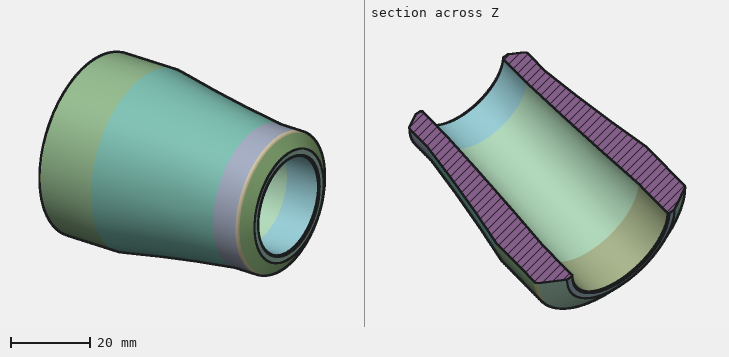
import cadquery as cq
import math

length = 64.0
large_radius = 48.3 / 2
small_radius = 38.0 / 2
large_bore_radius = 30.7 / 2
small_bore_radius = 26.0 / 2

taper_start = 20.0
bore_taper_start = 12.0
taper_end = 54.15
taper_sag = 0.3
bore_taper_sag = 0.2

root_face = 2.0
bevel_angle = 30.0
bevel_edge_radius = 1.0
mouth_chamfer = 0.3

large_face_radius = large_bore_radius + root_face
small_face_radius = small_bore_radius + root_face


def bevel_length(outer_radius, face_radius):
    """Axial length of the bevel between an end ring and the outer wall."""
    return (outer_radius - face_radius) * math.tan(math.radians(bevel_angle))


large_bevel_end = bevel_length(large_radius, large_face_radius)
small_bevel_start = length - bevel_length(small_radius, small_face_radius)
taper_middle = (
    (taper_start + taper_end) / 2,
    (large_radius + small_radius) / 2 - taper_sag,
)
bore_taper_middle = (
    (bore_taper_start + taper_end) / 2,
    (large_bore_radius + small_bore_radius) / 2 - bore_taper_sag,
)

half_section = (
    cq.Workplane("XY")
    .moveTo(0, large_bore_radius + mouth_chamfer)
    .lineTo(0, large_face_radius)
    .lineTo(large_bevel_end, large_radius)
    .lineTo(taper_start, large_radius)
    .threePointArc(taper_middle, (taper_end, small_radius))
    .lineTo(small_bevel_start, small_radius)
    .lineTo(length, small_face_radius)
    .lineTo(length, small_bore_radius + mouth_chamfer)
    .lineTo(length - mouth_chamfer, small_bore_radius)
    .lineTo(taper_end, small_bore_radius)
    .threePointArc(bore_taper_middle, (bore_taper_start, large_bore_radius))
    .lineTo(mouth_chamfer, large_bore_radius)
    .close()
)
body = half_section.revolve(360, (0, 0, 0), (1, 0, 0))


def bevel_edge(position, radius):
    """Selector box holding only the circle where a bevel meets the outer wall."""
    margin = 0.3
    reach = radius + margin
    return cq.selectors.BoxSelector(
        (position - margin, -reach, -reach),
        (position + margin, reach, reach),
        boundingbox=True,
    )


result = (
    body
    .edges(bevel_edge(large_bevel_end, large_radius) + bevel_edge(small_bevel_start, small_radius))
    .fillet(bevel_edge_radius)
)